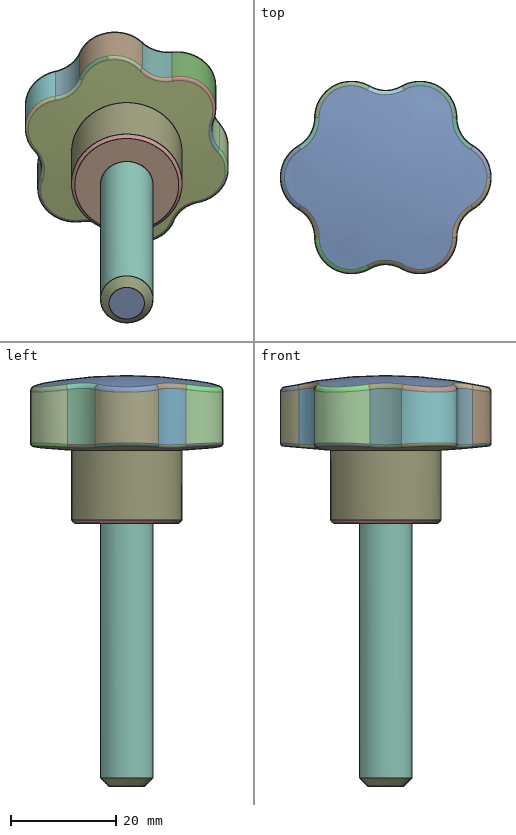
import cadquery as cq
import math

total_height = 78.0
hub_bottom = 49.9
head_bottom = 63.5

stud_diameter = 10.0
stud_chamfer = 1.6
hub_diameter = 21.0
hub_chamfer = 0.6

lobe_count = 6
head_diameter = 40.0
lobe_radius = 7.0
valley_radius = 6.0
head_edge_fillet = 1.0

crown_drop = 2.35
underside_rise = 1.2
underside_fillet = 0.6
blank_margin = 2.35

head_radius = head_diameter / 2
lobe_center_radius = head_radius - lobe_radius
half_pitch = math.pi / lobe_count


def polar(radius, angle):
    return (radius * math.cos(angle), radius * math.sin(angle))


def head_outline():
    """Closed profile of alternating lobe and valley arcs, with a lobe on the +X axis."""
    half_chord = lobe_center_radius * math.sin(half_pitch)
    center_gap = lobe_radius + valley_radius
    valley_offset = math.sqrt(center_gap**2 - half_chord**2)
    valley_center_radius = lobe_center_radius * math.cos(half_pitch) + valley_offset
    valley_bottom_radius = valley_center_radius - valley_radius

    lobe_share = valley_radius / center_gap
    tangent_side = half_chord * lobe_share
    tangent_out = valley_center_radius - valley_offset * lobe_share
    tangent_radius = math.hypot(tangent_side, tangent_out)
    tangent_angle = half_pitch - math.atan2(tangent_side, tangent_out)

    outline = cq.Workplane("XY").moveTo(*polar(tangent_radius, -tangent_angle))
    for lobe in range(lobe_count):
        lobe_axis = 2 * half_pitch * lobe
        valley_axis = lobe_axis + half_pitch
        next_lobe_axis = valley_axis + half_pitch
        outline = outline.threePointArc(
            polar(head_radius, lobe_axis),
            polar(tangent_radius, lobe_axis + tangent_angle),
        )
        outline = outline.threePointArc(
            polar(valley_bottom_radius, valley_axis),
            polar(tangent_radius, next_lobe_axis - tangent_angle),
        )
    return outline.close()


def dome_radius(drop):
    """Radius of a sphere that falls by the given drop at the head radius."""
    return (head_radius**2 + drop**2) / (2 * drop)


def dome_depth(drop, radius):
    """Distance the dome has fallen from its apex at a given radius."""
    sphere_radius = dome_radius(drop)
    return sphere_radius - math.sqrt(sphere_radius**2 - radius**2)


def domed_blank():
    """Round blank, wider than the head, with spherical faces above and below."""
    rim = head_radius + blank_margin
    middle = rim / 2
    return (
        cq.Workplane("XZ")
        .moveTo(0, head_bottom)
        .threePointArc(
            (middle, head_bottom + dome_depth(underside_rise, middle)),
            (rim, head_bottom + dome_depth(underside_rise, rim)),
        )
        .lineTo(rim, total_height - dome_depth(crown_drop, rim))
        .threePointArc(
            (middle, total_height - dome_depth(crown_drop, middle)),
            (0, total_height),
        )
        .close()
        .revolve(360, (0, 0, 0), (0, 1, 0))
    )


def make_head():
    prism = head_outline().extrude(total_height)
    head = prism.intersect(domed_blank())
    upper_dome = head.faces("%SPHERE").sort(lambda face: -face.Center().z).first()
    head = upper_dome.edges("%BSPLINE").fillet(head_edge_fillet)
    lower_dome = head.faces("%SPHERE").sort(lambda face: face.Center().z).first()
    return lower_dome.edges("%BSPLINE").fillet(underside_fillet)


def make_hub():
    hub = cq.Workplane("XY").workplane(offset=hub_bottom)
    hub = hub.circle(hub_diameter / 2).extrude(head_bottom + underside_rise - hub_bottom)
    return hub.faces("<Z").edges().chamfer(hub_chamfer)


def make_stud():
    stud = cq.Workplane("XY").circle(stud_diameter / 2).extrude(head_bottom)
    return stud.faces("<Z").edges().chamfer(stud_chamfer)


result = make_head().union(make_hub()).union(make_stud())